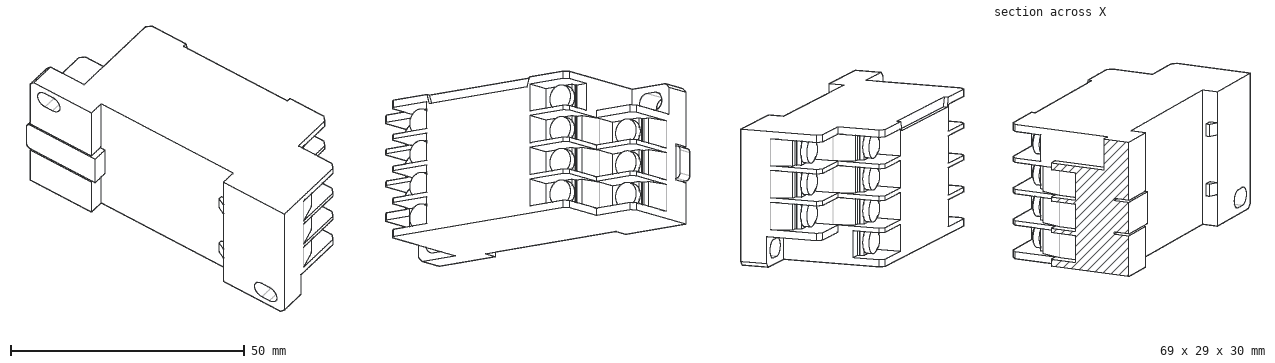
import cadquery as cq
import math

LENGTH = 68.0
WIDTH = 30.0
HEIGHT = 29.0
SHOULDER_HEIGHT = 18.5
STEP_LENGTH = 10.0
CORNER_CHAMFER = 1.0

EAR_THICKNESS = 6.0
EAR_WIDTH = 6.9
SLOT_DIAMETER = 4.0
SLOT_LENGTH = 6.0
SLOT_END_DISTANCE = 5.0
SLOT_SIDE_DISTANCE = 3.5

CHANNEL_START = 16.4
CHANNEL_END = 51.7
CHANNEL_DEPTH = 3.5
HOOK_REACH = 1.9
HOOK_HEIGHT = 1.8
HOOK_TIP_HEIGHT = 1.0
HOOK_WIDTH = 2.7
HOOK_CENTRES = (8.4, 21.75)
LATCH_OVERHANG = 1.0
LATCH_WIDTH = 7.1
LATCH_CLEARANCE = 0.4
LATCH_CENTRE = 13.05
LATCH_CORNER_RADIUS = 1.0

CELL_COUNT = 4
OUTER_WALL = 1.6
DIVIDER = 1.0
CELL_PITCH = 7.0
UPPER_CELL_RISE = HEIGHT - SHOULDER_HEIGHT
CELL_RAMP_START = 6.9
CELL_RAMP_HEIGHT = 4.6
CELL_RAMP_ANGLE = 15.6
CELL_FLOOR = CELL_RAMP_START + CELL_RAMP_HEIGHT
CELL_RAMP_RUN = CELL_RAMP_HEIGHT * math.tan(math.radians(CELL_RAMP_ANGLE))

CONTACT_SETBACK = 2.6
CONTACT_THICKNESS = 0.4
CLAMP_SETBACK = 2.9
CLAMP_THICKNESS = 0.95
LOWER_SCREW_SETBACK = 5.3
UPPER_SCREW_SETBACK = 5.0
HEAD_DIAMETER = 5.6
HEAD_RIM = 1.45
HEAD_DOME = 1.05

RECESS_START = 20.1
RECESS_END = 47.9
RECESS_HEIGHT = 0.9
RECESS_DEPTH = 2.1
RECESS_WALL_RUN = 0.65

MID_X = LENGTH / 2
MID_Z = WIDTH / 2


def box(x_start, x_end, y_start, y_end, z_start, z_end):
    size = (x_end - x_start, y_end - y_start, z_end - z_start)
    return cq.Workplane("XY").box(*size, centered=False).translate((x_start, y_start, z_start))


def opposite(shape):
    """The same shape turned half a turn about the vertical centre line of the housing."""
    return shape.rotate((MID_X, 0, MID_Z), (MID_X, 1, MID_Z), 180)


def cell_limits(index):
    """Lower and upper Z of a terminal cell."""
    centre = MID_Z + (index - (CELL_COUNT - 1) / 2) * CELL_PITCH
    half = (CELL_PITCH - DIVIDER) / 2
    return max(centre - half, OUTER_WALL), min(centre + half, WIDTH - OUTER_WALL)


def make_housing():
    half_profile = [
        (0, 0),
        (0, SHOULDER_HEIGHT - CORNER_CHAMFER),
        (CORNER_CHAMFER, SHOULDER_HEIGHT),
        (STEP_LENGTH, SHOULDER_HEIGHT),
        (STEP_LENGTH, HEIGHT - CORNER_CHAMFER),
        (STEP_LENGTH + CORNER_CHAMFER, HEIGHT),
    ]
    mirrored = [(LENGTH - x, y) for x, y in reversed(half_profile)]
    return cq.Workplane("XY").polyline(half_profile + mirrored).close().extrude(WIDTH)


def make_ear_cut():
    """Clearance above one ear, its chamfered corner and its mounting slot."""
    clearance = box(0, STEP_LENGTH, EAR_THICKNESS, SHOULDER_HEIGHT, WIDTH - EAR_WIDTH, WIDTH)
    corner = (
        cq.Workplane("XZ")
        .polyline([(0, WIDTH - CORNER_CHAMFER), (0, WIDTH), (CORNER_CHAMFER, WIDTH)])
        .close()
        .extrude(-EAR_THICKNESS)
    )
    slot = (
        cq.Workplane("XZ")
        .center(SLOT_END_DISTANCE, WIDTH - SLOT_SIDE_DISTANCE)
        .slot2D(SLOT_LENGTH, SLOT_DIAMETER)
        .extrude(-EAR_THICKNESS)
    )
    return clearance.union(corner).union(slot)


def make_cell_cut(index, is_upper):
    """Pocket of one terminal cell, open at the end and the top."""
    z_start, z_end = cell_limits(index)
    has_ramp = index < CELL_COUNT - 1
    ramp_foot = CELL_RAMP_START if has_ramp else CELL_FLOOR
    top = SHOULDER_HEIGHT
    profile = [(0, top), (0, ramp_foot)]
    if has_ramp:
        profile.append((CELL_RAMP_RUN, CELL_FLOOR))
    profile += [(STEP_LENGTH, CELL_FLOOR), (STEP_LENGTH, top)]
    pocket = cq.Workplane("XY").polyline(profile).close().extrude(z_end - z_start)
    return place_in_tier(pocket.translate((0, 0, z_start)), is_upper)


def make_terminal(index, is_upper):
    """Contact plate, clamp plate and domed screw head of one cell."""
    z_start, z_end = cell_limits(index)
    clamp_bottom = CELL_FLOOR + CONTACT_THICKNESS
    head_bottom = clamp_bottom + CLAMP_THICKNESS
    contact = box(CONTACT_SETBACK, STEP_LENGTH, CELL_FLOOR, clamp_bottom, z_start, z_end)
    clamp = box(CLAMP_SETBACK, STEP_LENGTH, clamp_bottom, head_bottom, z_start, z_end)
    screw_x = UPPER_SCREW_SETBACK if is_upper else LOWER_SCREW_SETBACK
    radius = HEAD_DIAMETER / 2
    sphere_radius = (radius ** 2 + HEAD_DOME ** 2) / (2 * HEAD_DOME)
    arc_angle = math.asin(radius / sphere_radius) / 2
    arc_middle = (
        sphere_radius * math.sin(arc_angle),
        HEAD_RIM + HEAD_DOME - sphere_radius * (1 - math.cos(arc_angle)),
    )
    head = (
        cq.Workplane("XY")
        .lineTo(radius, 0)
        .lineTo(radius, HEAD_RIM)
        .threePointArc(arc_middle, (0, HEAD_RIM + HEAD_DOME))
        .close()
        .revolve(360, (0, 0), (0, 1))
        .translate((screw_x, head_bottom, (z_start + z_end) / 2))
    )
    return place_in_tier(contact.union(clamp).union(head), is_upper)


def place_in_tier(shape, is_upper):
    """Lower-tier shapes stay put; upper-tier ones move one step in and up."""
    return shape.translate((STEP_LENGTH, UPPER_CELL_RISE, 0)) if is_upper else shape


def add_terminals(body):
    for is_upper in (False, True):
        count = CELL_COUNT if is_upper else CELL_COUNT - 1
        for index in range(count):
            pocket = make_cell_cut(index, is_upper)
            terminal = make_terminal(index, is_upper)
            body = body.cut(pocket).cut(opposite(pocket))
            body = body.union(terminal).union(opposite(terminal))
    return body


def make_hook(centre):
    profile = [
        (CHANNEL_END, 0),
        (CHANNEL_END - HOOK_REACH, HOOK_TIP_HEIGHT),
        (CHANNEL_END - HOOK_REACH, HOOK_HEIGHT),
        (CHANNEL_END, HOOK_HEIGHT),
    ]
    hook = cq.Workplane("XY").polyline(profile).close().extrude(HOOK_WIDTH)
    return hook.translate((0, 0, centre - HOOK_WIDTH / 2))


def make_latch_guide():
    half = LATCH_WIDTH / 2 + LATCH_CLEARANCE
    return box(0, CHANNEL_START, 0, CHANNEL_DEPTH, LATCH_CENTRE - half, LATCH_CENTRE + half)


def make_latch():
    half = LATCH_WIDTH / 2
    latch_end = CHANNEL_START + LATCH_OVERHANG
    latch = box(-LATCH_OVERHANG, latch_end, 0, CHANNEL_DEPTH, LATCH_CENTRE - half, LATCH_CENTRE + half)
    return latch.edges("|Y and <X").fillet(LATCH_CORNER_RADIUS)


def make_label_recess():
    floor_z = WIDTH - RECESS_DEPTH
    profile = [
        (RECESS_START, WIDTH),
        (RECESS_START + RECESS_WALL_RUN, floor_z),
        (RECESS_END - RECESS_WALL_RUN, floor_z),
        (RECESS_END, WIDTH),
    ]
    recess = cq.Workplane("XZ").polyline(profile).close().extrude(-RECESS_HEIGHT)
    return recess.translate((0, HEIGHT - RECESS_HEIGHT, 0))


result = add_terminals(make_housing())
ear_cut = make_ear_cut()
result = result.cut(ear_cut).cut(opposite(ear_cut))
result = result.cut(box(CHANNEL_START, CHANNEL_END, 0, CHANNEL_DEPTH, 0, WIDTH))
for hook_centre in HOOK_CENTRES:
    result = result.union(make_hook(hook_centre))
result = result.cut(make_latch_guide()).union(make_latch())
result = result.cut(make_label_recess())